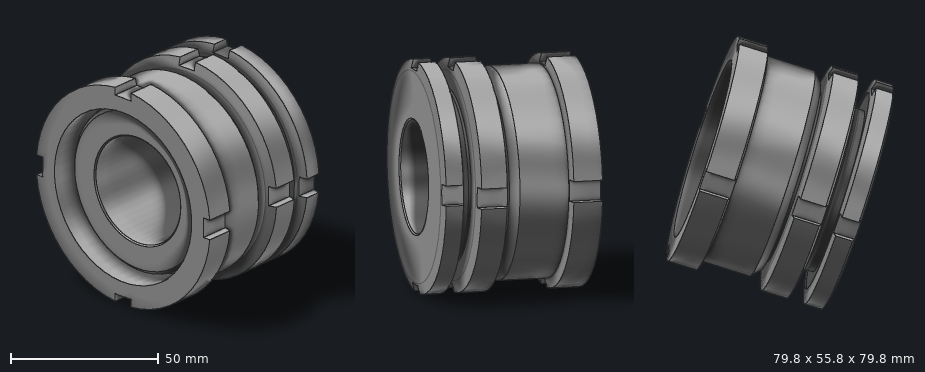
import cadquery as cq
import math


RIM_R = 40.0
RIM_TAPER_ANGLE = 15
SLOT_COUNT = 4
SLOT_FLOOR_R = 36.95
SLOT_OVERCUT = 0.8

CAP_RIM_LENGTH = 11.0
CAP_SLOT_WIDTH = 7.3
SKIRT_R = 36.55
SKIRT_END_Y = 31.05
SKIRT_CHAMFER = 2.95
RECESS_R = 31.5
RECESS_DEPTH = 13.6

NUT_FRONT_Y = 32.3
NUT_LENGTH = 11.2
NUT_SLOT_WIDTH = 7.0
NUT_TAPER_WIDTH = 4.15
NUT_TURN = 1.2

THREAD_R = 30.1
THREAD_CHAMFER = 1.3
SLEEVE_FRONT_Y = 7.2
BACK_Y = 55.8
BORE_R = 19.5
BORE_CHAMFER = 0.5
RELIEF_R = 28.65
THREAD_END_Y = 44.45
RUN_OUT_ANGLE = 45
RELIEF_FILLET_R = 0.8
FLANGE_LENGTH = 8
FLANGE_SLOT_WIDTH = 7.0
FLANGE_TURN = -1.2
FLANGE_TAPER_WIDTH = 3.7
FLANGE_RECESS_R = 34.95
FLANGE_RECESS_DEPTH = 0.5


def taper_length(taper_width):
    """Axial length of a rim taper with the given radial width."""
    return taper_width * math.tan(math.radians(RIM_TAPER_ANGLE))


def revolve_about_y(profile):
    """Turn a closed (radius, y) profile into a solid of revolution about Y."""
    return profile.close().revolve(360, (0, 0, 0), (0, 1, 0))


def cut_rim_slots(body, start_y, length, width, turn):
    """Cut the wrench slots into a rim, turned about Y by the given angle in degrees."""
    depth = RIM_R - SLOT_FLOOR_R + SLOT_OVERCUT
    slot = cq.Workplane("XY").box(width, length, depth, centered=(True, False, False))
    slot = slot.translate((0, start_y, SLOT_FLOOR_R))
    for index in range(SLOT_COUNT):
        angle = turn + index * 360 / SLOT_COUNT
        body = body.cut(slot.rotate((0, 0, 0), (0, 1, 0), -angle))
    return body


def make_cap():
    taper = taper_length(RIM_R - SKIRT_R)
    profile = (
        cq.Workplane("XY")
        .moveTo(RECESS_R, 0)
        .lineTo(RIM_R, 0)
        .lineTo(RIM_R, CAP_RIM_LENGTH - taper)
        .lineTo(SKIRT_R, CAP_RIM_LENGTH)
        .lineTo(SKIRT_R, SKIRT_END_Y - SKIRT_CHAMFER)
        .lineTo(SKIRT_R - SKIRT_CHAMFER, SKIRT_END_Y)
        .lineTo(THREAD_R, SKIRT_END_Y)
        .lineTo(THREAD_R, RECESS_DEPTH)
        .lineTo(RECESS_R, RECESS_DEPTH)
    )
    return cut_rim_slots(revolve_about_y(profile), 0, CAP_RIM_LENGTH, CAP_SLOT_WIDTH, 0)


def make_lock_nut():
    taper = taper_length(NUT_TAPER_WIDTH)
    nut_back_y = NUT_FRONT_Y + NUT_LENGTH
    profile = (
        cq.Workplane("XY")
        .moveTo(THREAD_R, NUT_FRONT_Y)
        .lineTo(RIM_R - NUT_TAPER_WIDTH, NUT_FRONT_Y)
        .lineTo(RIM_R, NUT_FRONT_Y + taper)
        .lineTo(RIM_R, nut_back_y - taper)
        .lineTo(RIM_R - NUT_TAPER_WIDTH, nut_back_y)
        .lineTo(THREAD_R, nut_back_y)
    )
    nut = revolve_about_y(profile)
    return cut_rim_slots(nut, NUT_FRONT_Y, NUT_LENGTH, NUT_SLOT_WIDTH, NUT_TURN)


def make_sleeve():
    taper = taper_length(FLANGE_TAPER_WIDTH)
    flange_front_y = BACK_Y - FLANGE_LENGTH

    run_out = math.radians(RUN_OUT_ANGLE)
    fillet_mid = run_out / 2
    run_out_end_r = RELIEF_R + RELIEF_FILLET_R * (1 - math.cos(run_out))
    run_out_end_y = THREAD_END_Y + (THREAD_R - run_out_end_r) / math.tan(run_out)
    fillet_end_y = run_out_end_y + RELIEF_FILLET_R * math.sin(run_out)
    fillet_mid_r = RELIEF_R + RELIEF_FILLET_R * (1 - math.cos(fillet_mid))
    fillet_mid_y = fillet_end_y - RELIEF_FILLET_R * math.sin(fillet_mid)

    profile = (
        cq.Workplane("XY")
        .moveTo(BORE_R + BORE_CHAMFER, SLEEVE_FRONT_Y)
        .lineTo(THREAD_R - THREAD_CHAMFER, SLEEVE_FRONT_Y)
        .lineTo(THREAD_R, SLEEVE_FRONT_Y + THREAD_CHAMFER)
        .lineTo(THREAD_R, THREAD_END_Y)
        .lineTo(run_out_end_r, run_out_end_y)
        .threePointArc((fillet_mid_r, fillet_mid_y), (RELIEF_R, fillet_end_y))
        .lineTo(RELIEF_R, flange_front_y + FLANGE_RECESS_DEPTH)
        .lineTo(FLANGE_RECESS_R, flange_front_y + FLANGE_RECESS_DEPTH)
        .lineTo(FLANGE_RECESS_R, flange_front_y)
        .lineTo(RIM_R - FLANGE_TAPER_WIDTH, flange_front_y)
        .lineTo(RIM_R, flange_front_y + taper)
        .lineTo(RIM_R, BACK_Y - taper)
        .lineTo(RIM_R - FLANGE_TAPER_WIDTH, BACK_Y)
        .lineTo(BORE_R + BORE_CHAMFER, BACK_Y)
        .lineTo(BORE_R, BACK_Y - BORE_CHAMFER)
        .lineTo(BORE_R, SLEEVE_FRONT_Y + BORE_CHAMFER)
    )
    sleeve = revolve_about_y(profile)
    return cut_rim_slots(sleeve, flange_front_y, FLANGE_LENGTH, FLANGE_SLOT_WIDTH, FLANGE_TURN)


cap = make_cap()
lock_nut = make_lock_nut()
sleeve = make_sleeve()

result = cq.Compound.makeCompound([cap.val(), lock_nut.val(), sleeve.val()])